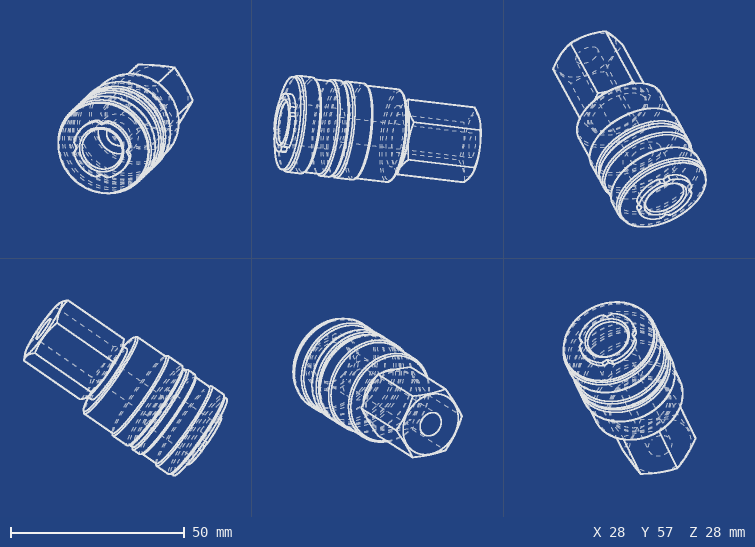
import cadquery as cq
import math

total_length = 57.0
nose_length = 1.65
sleeve_back = 33.7
hex_front = 35.45
hex_length = total_length - hex_front

nose_radius = 8.45
band_diameter = 28.0
band_height = 0.5
band_radius = band_diameter / 2
sleeve_radius = band_radius - band_height
edge_chamfer = 0.5
neck_radius = 8.9

bands = [(2.6, 7.8), (12.75, 16.2), (17.25, 23.25)]

hex_sides = 6
hex_corner_diameter = 21.95
hex_end_radius = 9.25
hex_chamfer_length = 0.85

socket_radius = 6.0
socket_depth = 17.1
socket_chamfer = 0.6
bore_radius = 3.55

notch_count = 4
notch_half_width = 1.5
notch_tip_radius = 7.45
notch_clearance = 0.55


def revolve_profile(points):
    """Revolve (radius, y) points about the Y axis."""
    return cq.Workplane("XY").polyline(points).close().revolve(360, (0, 0, 0), (0, 1, 0))


def disc(radius, start, end):
    """Cylinder on the Y axis between two stations."""
    return revolve_profile([(0, start), (radius, start), (radius, end), (0, end)])


def make_sleeve():
    """Sleeve with three raised bands and a chamfered back edge."""
    points = [(0, nose_length), (sleeve_radius, nose_length)]
    for front, back in bands:
        points += [
            (sleeve_radius, front),
            (band_radius, front + band_height),
            (band_radius, back - band_height),
            (sleeve_radius, back),
        ]
    points += [
        (sleeve_radius, sleeve_back - edge_chamfer),
        (sleeve_radius - edge_chamfer, sleeve_back),
        (0, sleeve_back),
    ]
    return revolve_profile(points)


def make_hex():
    """Hexagon with corners on +X and -X, turned conically at both ends."""
    prism = (
        cq.Workplane("XZ", origin=(0, hex_front, 0))
        .polygon(hex_sides, hex_corner_diameter)
        .extrude(-hex_length)
    )
    corner_radius = hex_corner_diameter / 2
    envelope = revolve_profile([
        (0, hex_front),
        (hex_end_radius, hex_front),
        (corner_radius, hex_front + hex_chamfer_length),
        (corner_radius, total_length - hex_chamfer_length),
        (hex_end_radius, total_length),
        (0, total_length),
    ])
    return prism.intersect(envelope)


def make_nose():
    """Short front ring with V-notches at equal angles around its rim."""
    nose = disc(nose_radius, 0, nose_length)
    rim_distance = math.sqrt(nose_radius**2 - notch_half_width**2)
    cutter_radius = nose_radius + notch_clearance
    side_slope = notch_half_width / (rim_distance - notch_tip_radius)
    cutter_half_width = side_slope * (cutter_radius - notch_tip_radius)
    notch = (
        cq.Workplane("XZ")
        .polyline([
            (notch_tip_radius, 0),
            (cutter_radius, cutter_half_width),
            (cutter_radius, -cutter_half_width),
        ])
        .close()
        .extrude(-nose_length)
    )
    for index in range(notch_count):
        angle = index * 360 / notch_count
        nose = nose.cut(notch.rotate((0, 0, 0), (0, 1, 0), angle))
    return nose


def make_bore():
    """Chamfered front socket that steps down to a through bore."""
    return revolve_profile([
        (0, 0),
        (socket_radius + socket_chamfer, 0),
        (socket_radius, socket_chamfer),
        (socket_radius, socket_depth),
        (bore_radius, socket_depth),
        (bore_radius, total_length),
        (0, total_length),
    ])


neck = disc(neck_radius, sleeve_back, hex_front)
body = make_sleeve().union(make_nose()).union(neck).union(make_hex())
result = body.cut(make_bore())